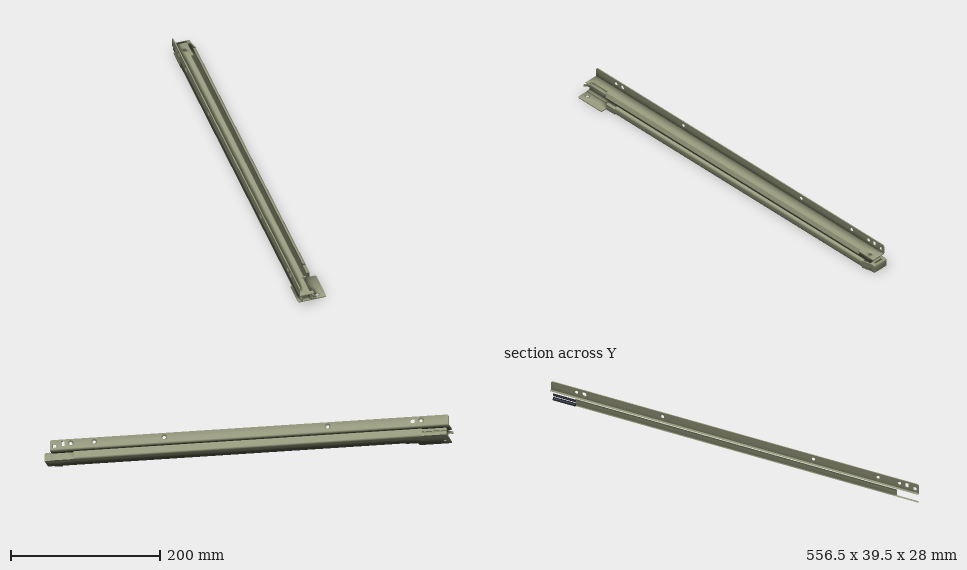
import cadquery as cq
import math

length = 556.5
height = 28
tab_reach = 39.5

sheet = 1.4
rail_start = 8.5
upper_end = 555.0
lower_end = 551.5

web_bottom = 13.0
web_width = 21.0
bend_radius = 2.0
fold_y = 18.0
lip_bottom = 9.0
lip_start = 36.0
lip_end = 517.5
flange_corner = 3.0
screw_bay = 128
screw_pitch = screw_bay / 4
screw_first = 37.0
screw_steps = [0, 1, 4, 11, 15]
screw_z = 21.5
screw_hole = 4.5
screw_head = 9.0
square_x = 14.5
square_z = 19.5
square_side = 5.0
slot_x = 26.0
slot_width = 5.0
slot_height = 6.5
round_x = 505.5
round_hole = 6.0
dish_x = 21.0
dish_y = 14.5
dish_head = 12.0
dish_hole = 5.5
web_notch_start = 519.5
web_notch_end = 549.5
web_notch_y = 14.5

lower_top = 11.5
wall_y = 1.95
wall_start = 40.0
wall_end = 517.5
wall_inner = 4.5
outer_y = 30.5
curl_inner = 26.0
curl_radius = 3.5
outer_start = 19.5
outer_end = 490
stub_top = 9.0
lead_in_y = 28
tab_start = 506.5
tab_corner = 2.0
tab_hole_x = 544.0
tab_hole_y = 29.0
tab_hole = 4.5
tab_head = 9.0

slide_front = 5.0
slide_back = 18.0
slide_end = 551
guide_y = 3.5
guide_bottom = 7.0
guide_rib_top = 5.0
foot_back = 23.0
foot_top = 3.0
slide_top = 10.5
tail_y = 23.5
stop_front = 4.0
stop_back = 27.0
stop_round = 3.0
stop_pocket_x = 3.0
stop_pocket_width = 3.5
stop_pocket_margin = 5.0
stop_pocket_depth = 3.5


def box(x0, x1, y0, y1, z0, z1):
    """Box given by its limits along each axis."""
    return cq.Workplane("XY").box(x1 - x0, y1 - y0, z1 - z0, centered=False).translate((x0, y0, z0))


def countersink(hole, head):
    """Conical cutter through one sheet, widest at the origin and narrowing towards -Z."""
    return cq.Workplane("XY").circle(head / 2).workplane(offset=-sheet).circle(hole / 2).loft(ruled=True)


def profile(points, x0, x1):
    """Closed outline in Y and Z, extruded from x0 to x1."""
    return cq.Workplane("YZ").polyline(points).close().extrude(x1 - x0).translate((x0, 0, 0))


def edge_at(y, z):
    """Selects the long edge that passes through y, z at mid length."""
    return cq.selectors.NearestToPointSelector((length / 2, y, z))


def flange_opening(x, z, width, tall):
    """Rectangular cutter through the upright flange, centred on x, z."""
    return box(x - width / 2, x + width / 2, 0, sheet, z - tall / 2, z + tall / 2)


def make_upper_rail():
    web_top = web_bottom + sheet
    section = [(0, height), (0, web_bottom), (web_width, web_bottom),
               (web_width, web_top), (sheet, web_top), (sheet, height)]
    rail = profile(section, rail_start, upper_end)
    rail = rail.edges(edge_at(0, web_bottom)).fillet(bend_radius)
    rail = rail.edges("|Y and >Z").fillet(flange_corner)

    rail = rail.cut(box(lip_start, lip_end, fold_y, web_width, web_bottom, web_top))
    lip_section = [(fold_y - sheet, web_bottom), (web_width - sheet, lip_bottom),
                   (web_width, lip_bottom), (fold_y, web_top), (fold_y - sheet, web_top)]
    rail = rail.union(profile(lip_section, lip_start, lip_end))

    for step in screw_steps:
        cutter = countersink(screw_hole, screw_head).rotate((0, 0, 0), (1, 0, 0), 90)
        rail = rail.cut(cutter.translate((screw_first + step * screw_pitch, 0, screw_z)))
    rail = rail.cut(flange_opening(square_x, square_z, square_side, square_side))
    rail = rail.cut(flange_opening(slot_x, screw_z, slot_width, slot_height))
    rail = rail.cut(cq.Workplane("XZ").center(round_x, screw_z).circle(round_hole / 2).extrude(-sheet))

    rail = rail.cut(countersink(dish_hole, dish_head).translate((dish_x, dish_y, web_top)))
    return rail.cut(box(web_notch_start, web_notch_end, web_notch_y, web_width, web_bottom, web_top))


def bent_wall(outer, inner, radius, x0, x1):
    """Upright wall with its foot and its top edge both bent inwards from y = outer to y = inner."""
    inside = outer + math.copysign(sheet, inner - outer)
    section = [(inner, 0), (outer, 0), (outer, lower_top), (inner, lower_top),
               (inner, lower_top - sheet), (inside, lower_top - sheet), (inside, sheet), (inner, sheet)]
    wall = profile(section, x0, x1)
    for z_outside, z_inside in [(0, sheet), (lower_top, lower_top - sheet)]:
        wall = wall.edges(edge_at(inside, z_inside)).fillet(radius - sheet)
        wall = wall.edges(edge_at(outer, z_outside)).fillet(radius)
    return wall


def make_lower_rail():
    base = box(rail_start, lower_end, wall_inner, curl_inner, 0, sheet)
    base = base.union(box(rail_start, wall_start, wall_y, wall_inner, 0, sheet))
    base = base.union(box(wall_end, lower_end, 0, wall_inner, 0, sheet))

    tab = box(tab_start, lower_end, wall_inner, tab_reach, 0, sheet).edges("|Z and >Y").fillet(tab_corner)
    base = base.union(tab)
    base = base.cut(countersink(tab_hole, tab_head).translate((tab_hole_x, tab_hole_y, sheet)))

    wall = bent_wall(wall_y, wall_inner, bend_radius, wall_start, wall_end)
    curl = bent_wall(outer_y, curl_inner, curl_radius, outer_start, outer_end)

    stub = box(outer_end, tab_start, outer_y - sheet, outer_y, 0, stub_top)
    for z in [0, stub_top - sheet]:
        stub = stub.union(box(outer_end, tab_start, curl_inner, outer_y, z, z + sheet))

    lead_outline = [(outer_start, outer_y), (rail_start, lead_in_y),
                    (rail_start, lead_in_y - sheet), (outer_start, outer_y - sheet)]
    lead_in = cq.Workplane("XY").polyline(lead_outline).close().extrude(lower_top)
    lead_floor = [(outer_start, outer_y), (rail_start, lead_in_y),
                  (rail_start, curl_inner), (outer_start, curl_inner)]
    lead_in = lead_in.union(cq.Workplane("XY").polyline(lead_floor).close().extrude(sheet))

    return base.union(wall).union(curl).union(stub).union(lead_in)


def make_slide():
    channel = box(rail_start, slide_end, slide_front, slide_back, sheet, slide_top)
    inside = box(rail_start, slide_end, slide_front + sheet, slide_back - sheet, sheet, slide_top - sheet)
    channel = channel.cut(inside)

    channel = channel.union(box(rail_start, slide_end, slide_back, foot_back, sheet, foot_top))

    for z0, z1 in [(guide_bottom, slide_top), (sheet, guide_rib_top)]:
        channel = channel.union(box(wall_end, slide_end, guide_y, slide_front, z0, z1))

    tail_outline = [(slide_end - sheet, slide_back - sheet), (slide_end, slide_back - sheet),
                    (length, tail_y - sheet), (length, tail_y), (slide_end - sheet, slide_back)]
    tail = cq.Workplane("XY").workplane(offset=guide_bottom).polyline(tail_outline).close()
    tail = tail.extrude(slide_top - guide_bottom)

    stop = box(0, rail_start, stop_front, stop_back, 0, lower_top)
    stop = stop.edges("|Y and <X and >Z").fillet(stop_round)
    pocket_end = stop_pocket_x + stop_pocket_width
    stop = stop.cut(box(stop_pocket_x, pocket_end, stop_front + stop_pocket_margin,
                        stop_back - stop_pocket_margin, lower_top - stop_pocket_depth, lower_top))
    return channel.union(tail).union(stop)


upper_rail = make_upper_rail()
lower_rail = make_lower_rail()
slide = make_slide()

result = cq.Compound.makeCompound([upper_rail.val(), lower_rail.val(), slide.val()])